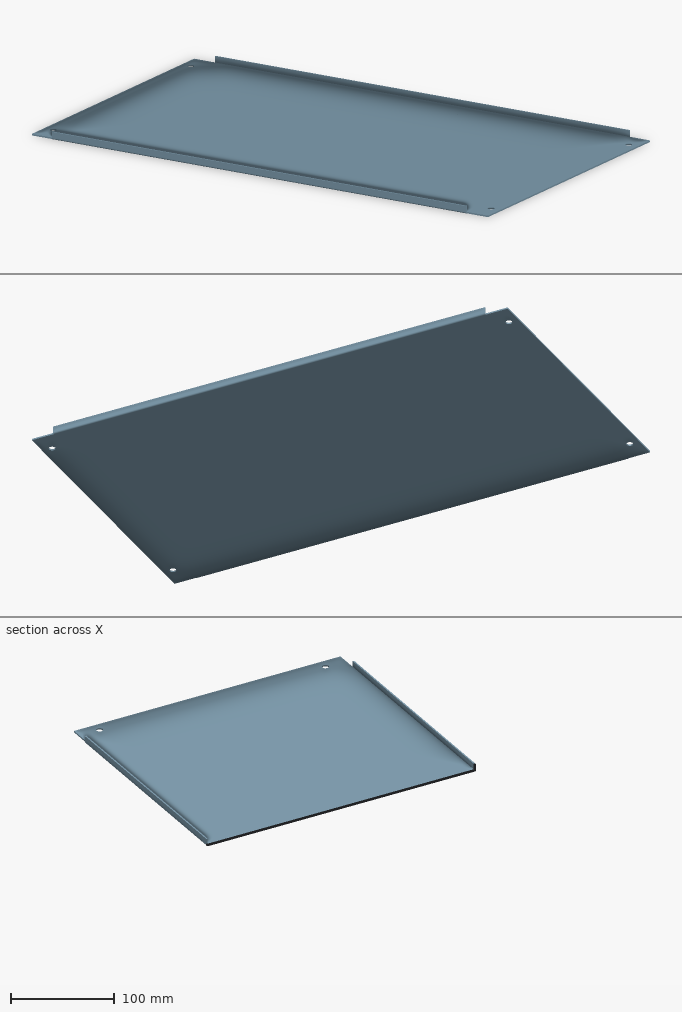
import cadquery as cq

length = 517.0
width = 299.0
height = 8.0

sheet = 1.5
flange_length = 469.5
bend_radius = 1.45
plate_width = width - 2 * sheet

hole_diameter = 6.5
hole_spacing_x = 496.5
hole_spacing_y = 251.0


def make_plate():
    """Flat sheet resting on Z = 0, with a hole near each corner."""
    return (
        cq.Workplane("XY")
        .rect(length, plate_width)
        .extrude(sheet)
        .faces(">Z")
        .workplane()
        .rect(hole_spacing_x, hole_spacing_y, forConstruction=True)
        .vertices()
        .hole(hole_diameter)
    )


def make_flange(side):
    """One upright flange with a rounded outer fold; side is -1 for the -Y edge and +1 for the +Y edge."""
    return (
        cq.Workplane("XY")
        .center(0, side * (width - sheet) / 2)
        .rect(flange_length, sheet)
        .extrude(height)
        .edges("|X and <Z")
        .edges(">Y" if side > 0 else "<Y")
        .fillet(bend_radius)
    )


result = make_plate()
for edge_side in (-1, 1):
    result = result.union(make_flange(edge_side))